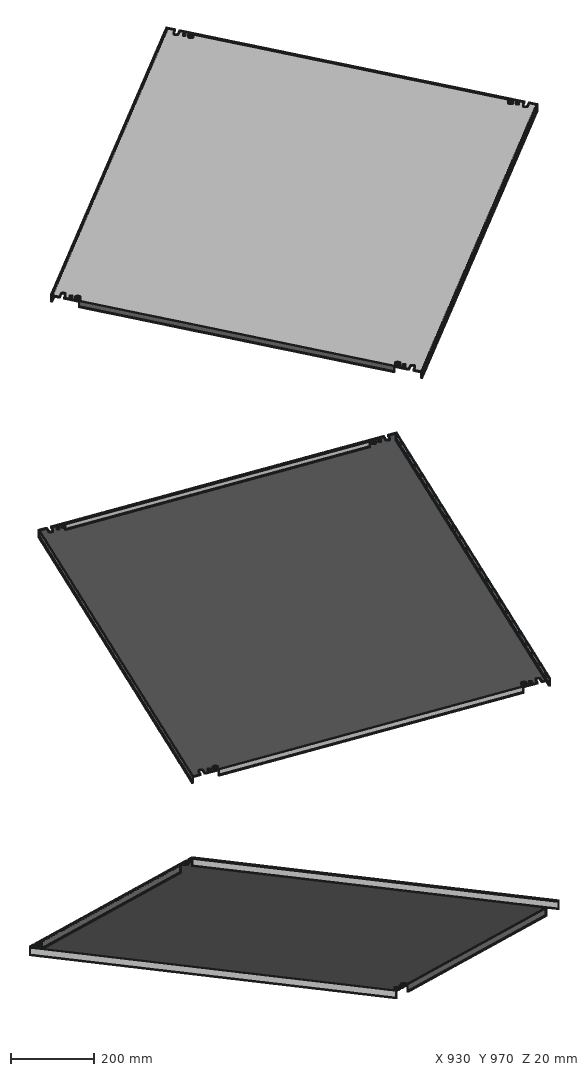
import cadquery as cq

width = 930.0
length = 970.0
height = 20.0
thickness = 2.5

flange_setback = 70.0

notch_inset = 27.0
notch_width = 12.0
notch_depth = 16.5
small_hole_inset = 48.0
small_hole_diameter = 7.0
stepped_hole_inset = 64.0
counterbore_diameter = 14.0
counterbore_depth = thickness / 2
pilot_diameter = 5.0
hole_edge_distance = 10.0

top = height / 2


def block(size_x, size_y, size_z, x, y):
    """Box centred on (x, y), hanging down from the top face of the panel."""
    return cq.Workplane("XY").box(size_x, size_y, size_z).translate((x, y, top - size_z / 2))


def round_cutter(diameter, depth, x, y):
    """Vertical cylinder reaching down from the top face."""
    return cq.Workplane("XY", origin=(x, y, top - depth)).circle(diameter / 2).extrude(depth)


def folded_panel():
    """Flat sheet with full-length side flanges and shortened end flanges."""
    panel = block(width, length, thickness, 0, 0)
    end_flange_length = width - 2 * flange_setback
    for side in (-1, 1):
        flange_x = side * (width - thickness) / 2
        flange_y = side * (length - thickness) / 2
        panel = panel.union(block(thickness, length, height, flange_x, 0))
        panel = panel.union(block(end_flange_length, thickness, height, 0, flange_y))
    return panel


def notch_cutter(side, end):
    """Round-bottomed notch open at an end edge."""
    straight = notch_depth - notch_width / 2
    x = side * (width / 2 - notch_inset)
    slot = block(notch_width, straight, thickness, x, end * (length - straight) / 2)
    return slot.union(round_cutter(notch_width, thickness, x, end * (length / 2 - straight)))


def cut_corner(panel, side, end):
    """Notch, small hole and counterbored hole at one corner."""
    y = end * (length / 2 - hole_edge_distance)
    small_x = side * (width / 2 - small_hole_inset)
    stepped_x = side * (width / 2 - stepped_hole_inset)
    panel = panel.cut(notch_cutter(side, end))
    panel = panel.cut(round_cutter(small_hole_diameter, thickness, small_x, y))
    panel = panel.cut(round_cutter(pilot_diameter, thickness, stepped_x, y))
    return panel.cut(round_cutter(counterbore_diameter, counterbore_depth, stepped_x, y))


result = folded_panel()
for side in (-1, 1):
    for end in (-1, 1):
        result = cut_corner(result, side, end)